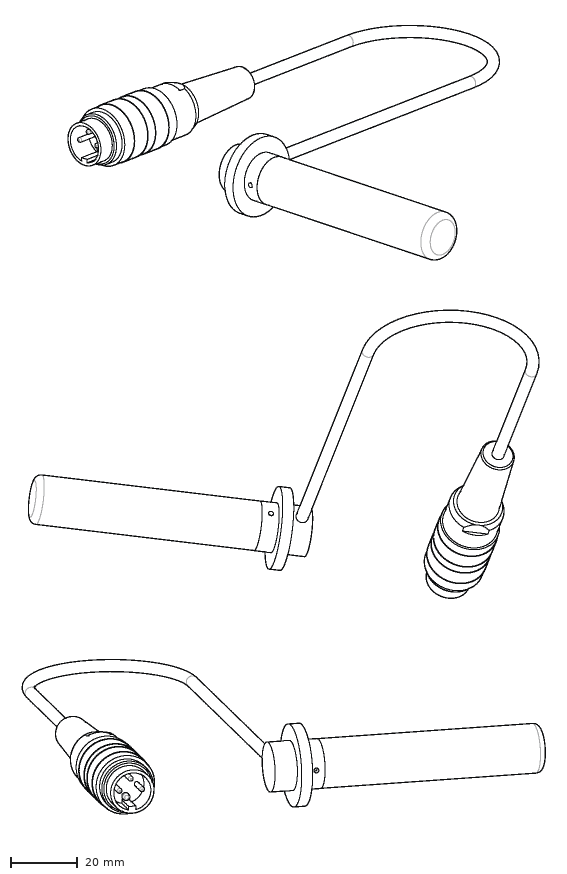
import cadquery as cq
import math

TIP_DIAMETER = 13.5
TIP_BORE_DIAMETER = 11.5
TIP_BORE_DEPTH = 8.0
TIP_END = 5.0
NUT_DIAMETER = 16.0
NUT_CHAMFER = 0.5
NUT_END = 8.0
SLEEVE_DIAMETER = 18.15
SLEEVE_END = 31.0
GRIP_RING_DIAMETER = 18.5
GRIP_RING_WIDTH = 5.9
GRIP_RING_STARTS = (12.2, 21.5)
SHELL_DIAMETER = 16.9
SHELL_END_DIAMETER = 15.08
SHELL_END = 42.2
SHELL_CHAMFER_LENGTH = 2.2
FLAT_SPACING = 15.0
FLAT_LENGTH = 4.2
BOOT_BASE_DIAMETER = 13.0
BOOT_TIP_DIAMETER = 10.2
BOOT_END = 70.0
BOOT_CHAMFER = 0.5

PIN_DIAMETER = 1.5
PIN_LENGTH = 6.7
PIN_NOSE_FILLET = 0.5
PIN_ANGLES = (0, 90, 180)
SHORT_PIN_ANGLE = 270
SHORT_PIN_DIAMETER = 2.25
SHORT_PIN_LENGTH = 1.5
PIN_CIRCLE_DIAMETER = 7.0
KEY_WIDTH = 2.25
KEY_HEIGHT = 1.2

CABLE_DIAMETER = 3.7
BEND_RADIUS = 25.0
BEND_CENTRE_Y = 116.46
CABLE_RETURN_X = 2 * BEND_RADIUS

SENSOR_DIAMETER = 15.0
SENSOR_START_X = 46.7
SENSOR_END_X = 131.01
SENSOR_Y = 16.45
SENSOR_END_FILLET = 2.0
COLLAR_DIAMETER = 15.08
COLLAR_END_X = 62.2
FLANGE_DIAMETER = 25.0
FLANGE_START_X = 53.6
FLANGE_WIDTH = 3.4
SIDE_HOLE_DIAMETER = 1.49
SIDE_HOLE_DEPTH = 2.0
SIDE_HOLE_X = 59.5


def rod_along_y(diameter, start, end, x=0.0, z=0.0):
    """Round rod parallel to Y from Y = start to Y = end."""
    plane = cq.Plane(origin=(x, start, z), xDir=(1, 0, 0), normal=(0, 1, 0))
    return cq.Workplane(plane).circle(diameter / 2).extrude(end - start)


def rod_along_x(diameter, start, end):
    """Round rod on the sensor axis from X = start to X = end."""
    plane = cq.Plane(origin=(start, SENSOR_Y, 0), xDir=(0, 1, 0), normal=(1, 0, 0))
    return cq.Workplane(plane).circle(diameter / 2).extrude(end - start)


def connector_shell():
    """Turned outside of the plug, from the tip to the end of the cable boot."""
    boot_slope = (BOOT_BASE_DIAMETER - BOOT_TIP_DIAMETER) / (BOOT_END - SHELL_END)
    boot_chamfer_diameter = BOOT_TIP_DIAMETER + boot_slope * BOOT_CHAMFER
    outline = [
        (TIP_DIAMETER, 0),
        (TIP_DIAMETER, TIP_END),
        (NUT_DIAMETER - 2 * NUT_CHAMFER, TIP_END),
        (NUT_DIAMETER, TIP_END + NUT_CHAMFER),
        (NUT_DIAMETER, NUT_END),
        (SLEEVE_DIAMETER, NUT_END),
        (SLEEVE_DIAMETER, SLEEVE_END),
        (SHELL_DIAMETER, SLEEVE_END),
        (SHELL_DIAMETER, SHELL_END - SHELL_CHAMFER_LENGTH),
        (SHELL_END_DIAMETER, SHELL_END),
        (BOOT_BASE_DIAMETER, SHELL_END),
        (boot_chamfer_diameter, BOOT_END - BOOT_CHAMFER),
        (BOOT_TIP_DIAMETER - 2 * BOOT_CHAMFER, BOOT_END),
    ]
    points = [(diameter / 2, y) for diameter, y in outline]
    profile = cq.Workplane("XY").moveTo(0, 0).polyline(points, includeCurrent=True)
    return profile.lineTo(0, BOOT_END).close().revolve(360, (0, 0, 0), (0, 1, 0))


def cut_flats(shell):
    """Two parallel flats, above and below, at the boot end of the shell."""
    flat_start = SHELL_END - FLAT_LENGTH
    for side in (1, -1):
        removed = cq.Workplane("XY").box(
            SHELL_DIAMETER, FLAT_LENGTH, SHELL_DIAMETER, centered=(True, False, True)
        )
        offset = side * (FLAT_SPACING + SHELL_DIAMETER) / 2
        shell = shell.cut(removed.translate((0, flat_start, offset)))
    return shell


def contact_pin(angle, diameter, length):
    """Round-nosed pin standing on the floor of the tip bore, placed by its angle from +X."""
    x = PIN_CIRCLE_DIAMETER / 2 * math.cos(math.radians(angle))
    z = PIN_CIRCLE_DIAMETER / 2 * math.sin(math.radians(angle))
    pin = rod_along_y(diameter, TIP_BORE_DEPTH - length, TIP_BORE_DEPTH, x, z)
    return pin.faces("<Y").edges().fillet(PIN_NOSE_FILLET)


def bore_key():
    """Polarising key along the lowest line of the tip bore."""
    wall_middle = (TIP_DIAMETER + TIP_BORE_DIAMETER) / 4
    key_top = TIP_BORE_DIAMETER / 2 - KEY_HEIGHT
    key = cq.Workplane("XY").box(
        KEY_WIDTH, TIP_BORE_DEPTH, wall_middle - key_top, centered=(True, False, False)
    )
    return key.translate((0, 0, -wall_middle))


def cable():
    """Cable from the boot, round the bend and on to the sensor axis."""
    path = (
        cq.Workplane("XY")
        .moveTo(0, BOOT_END)
        .lineTo(0, BEND_CENTRE_Y)
        .threePointArc((BEND_RADIUS, BEND_CENTRE_Y + BEND_RADIUS), (CABLE_RETURN_X, BEND_CENTRE_Y))
        .lineTo(CABLE_RETURN_X, SENSOR_Y)
    )
    start = cq.Plane(origin=(0, BOOT_END, 0), xDir=(1, 0, 0), normal=(0, 1, 0))
    return cq.Workplane(start).circle(CABLE_DIAMETER / 2).sweep(path)


def build_sensor():
    """Barrel with a rounded far end, a collar, a mounting flange and two small side holes."""
    barrel = rod_along_x(SENSOR_DIAMETER, SENSOR_START_X, SENSOR_END_X)
    barrel = barrel.faces(">X").edges().fillet(SENSOR_END_FILLET)
    collar = rod_along_x(COLLAR_DIAMETER, SENSOR_START_X, COLLAR_END_X)
    flange = rod_along_x(FLANGE_DIAMETER, FLANGE_START_X, FLANGE_START_X + FLANGE_WIDTH)
    sensor = barrel.union(collar).union(flange)
    for side in (1, -1):
        surface_y = SENSOR_Y + side * COLLAR_DIAMETER / 2
        floor_y = surface_y - side * SIDE_HOLE_DEPTH
        sensor = sensor.cut(rod_along_y(SIDE_HOLE_DIAMETER, floor_y, surface_y, SIDE_HOLE_X))
    return sensor


def build_cable_assembly(sensor):
    """Plug and cable in one piece; the cable end is shaped to sit on the sensor's side."""
    plug = cut_flats(connector_shell())
    for ring_start in GRIP_RING_STARTS:
        plug = plug.union(rod_along_y(GRIP_RING_DIAMETER, ring_start, ring_start + GRIP_RING_WIDTH))
    plug = plug.cut(rod_along_y(TIP_BORE_DIAMETER, 0, TIP_BORE_DEPTH))
    plug = plug.union(bore_key())
    for angle in PIN_ANGLES:
        plug = plug.union(contact_pin(angle, PIN_DIAMETER, PIN_LENGTH))
    plug = plug.union(contact_pin(SHORT_PIN_ANGLE, SHORT_PIN_DIAMETER, SHORT_PIN_LENGTH))
    return plug.union(cable()).cut(sensor)


sensor = build_sensor()
cable_assembly = build_cable_assembly(sensor)

result = cq.Compound.makeCompound([sensor.val(), cable_assembly.val()])